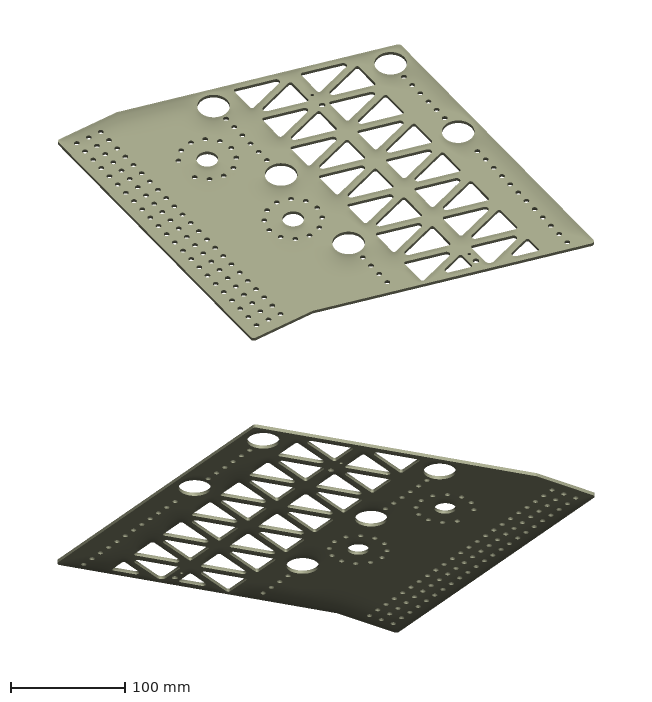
import cadquery as cq
import math

PITCH = 12.7
PLATE_WIDTH = 24 * PITCH
PLATE_HEIGHT = 25 * PITCH
PLATE_THICKNESS = 3.175
KNEE_HEIGHT = 5 * PITCH
CORNER_RADIUS = 3.175
LEAN = math.tan(math.radians(15))

BOLT_HOLE_DIAMETER = 5.0
GRID_COLUMNS = 23
GRID_ROWS = 3

LARGE_HOLE_DIAMETER = 28.55
LARGE_HOLE_PITCH = 105.0
ROW_SPACING = 12.5 * PITCH
UPPER_ROW_Y = 296.86
LOWER_ROW_Y = UPPER_ROW_Y - ROW_SPACING
UPPER_LARGE_X = 83.88
LOWER_LARGE_X = UPPER_LARGE_X - ROW_SPACING * LEAN
UPPER_LARGE_COUNT = 2
LOWER_LARGE_COUNT = 3

BOLT_ROWS = (
    (104.55, UPPER_ROW_Y, 6),
    (104.55 + 9 * PITCH, UPPER_ROW_Y, 12),
    (60.75, LOWER_ROW_Y, 6),
    (273.5, LOWER_ROW_Y, 4),
)

SHAFT_HOLE_DIAMETER = 19.05
BOLT_CIRCLE_RADIUS = 25.4
BOLT_CIRCLE_POSITIONS = 12
BOTTOM_POSITION = 9
LEFT_SHAFT_X = 93.85
LEFT_SHAFT_Y = 95.7
RIGHT_SHAFT_X = LEFT_SHAFT_X + LARGE_HOLE_PITCH
RIGHT_SHAFT_Y = 115.17

WINDOW_HEIGHT = 47.75
RIB_LEAN = math.tan(math.radians(20))
WINDOW_PITCH = 44.14
WINDOWS_PER_ROW = 7
UPPER_TRUSS_Y = 223.7
TRUSS_ROW_SPACING = 60.0
UPRIGHT_X = 49.55
INVERTED_X = 69.25
END_WINDOW_HEIGHT = 31.0
BASE_RADIUS = 2.0
APEX_RADIUS = 3.175
END_CORNER_RADIUS = 4.5

PAIR_Y = 217.5
PAIR_LARGE_DIAMETER = 5.6
PAIR_LARGE_X = (LEFT_SHAFT_X, 332.9)
PAIR_SMALL_DIAMETER = 3.0
PAIR_SMALL_X = (78.5, 322.6)


def make_plate():
    """Upright lower part below the knee, leaning parallelogram above it."""
    shift = (PLATE_HEIGHT - KNEE_HEIGHT) * LEAN
    outline = [
        (0, 0),
        (PLATE_WIDTH, 0),
        (PLATE_WIDTH, KNEE_HEIGHT),
        (PLATE_WIDTH + shift, PLATE_HEIGHT),
        (shift, PLATE_HEIGHT),
        (0, KNEE_HEIGHT),
    ]
    blank = cq.Workplane("XY").polyline(outline).close().extrude(PLATE_THICKNESS)
    return blank.edges("|Z and (<Y or >Y)").fillet(CORNER_RADIUS)


def drill(plate, centers, diameter):
    """Cut round through holes at the given centers."""
    pins = cq.Workplane("XY").pushPoints(centers).circle(diameter / 2).extrude(PLATE_THICKNESS)
    return plate.cut(pins)


def row_points(first_x, y, count, pitch):
    return [(first_x + i * pitch, y) for i in range(count)]


def cut_bolt_grid(plate):
    for row in range(GRID_ROWS):
        plate = drill(plate, row_points(PITCH, (row + 1) * PITCH, GRID_COLUMNS, PITCH), BOLT_HOLE_DIAMETER)
    return plate


def cut_large_holes(plate):
    upper = row_points(UPPER_LARGE_X, UPPER_ROW_Y, UPPER_LARGE_COUNT, LARGE_HOLE_PITCH)
    lower = row_points(LOWER_LARGE_X, LOWER_ROW_Y, LOWER_LARGE_COUNT, LARGE_HOLE_PITCH)
    return drill(plate, upper + lower, LARGE_HOLE_DIAMETER)


def cut_bolt_rows(plate):
    for first_x, y, count in BOLT_ROWS:
        plate = drill(plate, row_points(first_x, y, count, PITCH), BOLT_HOLE_DIAMETER)
    return plate


def cut_shaft_mount(plate, x, y, positions):
    """Shaft hole with bolt holes at the given positions of its bolt circle."""
    angles = [2 * math.pi * k / BOLT_CIRCLE_POSITIONS for k in positions]
    bolts = [
        (x + BOLT_CIRCLE_RADIUS * math.cos(angle), y + BOLT_CIRCLE_RADIUS * math.sin(angle))
        for angle in angles
    ]
    plate = drill(plate, [(x, y)], SHAFT_HOLE_DIAMETER)
    return drill(plate, bolts, BOLT_HOLE_DIAMETER)


def make_window(left_x, base_y, height, upright, right_radius=BASE_RADIUS):
    """Rounded triangle; its base is at the bottom if upright, else at the top."""
    base = height * (LEAN + RIB_LEAN)
    if upright:
        apex = (left_x + height * LEAN, base_y + height)
        apex_edge = ">Y"
    else:
        apex = (left_x + height * RIB_LEAN, base_y - height)
        apex_edge = "<Y"
    corners = [(left_x, base_y), (left_x + base, base_y), apex]
    window = cq.Workplane("XY").polyline(corners).close().extrude(PLATE_THICKNESS)
    window = window.edges("|Z").edges(apex_edge).fillet(APEX_RADIUS)
    window = window.edges("|Z").edges("<X").fillet(BASE_RADIUS)
    return window.edges("|Z").edges(">X").fillet(right_radius)


def cut_truss_row(plate, drop, end_corner_radius):
    """One row of windows, lowered by drop and shifted along the plate's lean."""
    bottom = UPPER_TRUSS_Y - drop
    top = bottom + WINDOW_HEIGHT
    for i in range(WINDOWS_PER_ROW):
        is_last = i == WINDOWS_PER_ROW - 1
        offset = i * WINDOW_PITCH - drop * LEAN
        corner_radius = end_corner_radius if is_last else BASE_RADIUS
        inverted_height = END_WINDOW_HEIGHT if is_last else WINDOW_HEIGHT
        plate = plate.cut(make_window(UPRIGHT_X + offset, bottom, WINDOW_HEIGHT, True, corner_radius))
        plate = plate.cut(make_window(INVERTED_X + offset, top, inverted_height, False))
    return plate


def cut_hole_pairs(plate):
    plate = drill(plate, [(x, PAIR_Y) for x in PAIR_LARGE_X], PAIR_LARGE_DIAMETER)
    return drill(plate, [(x, PAIR_Y) for x in PAIR_SMALL_X], PAIR_SMALL_DIAMETER)


full_circle = range(BOLT_CIRCLE_POSITIONS)
open_circle = [k for k in full_circle if k != BOTTOM_POSITION]

result = make_plate()
result = cut_bolt_grid(result)
result = cut_large_holes(result)
result = cut_bolt_rows(result)
result = cut_shaft_mount(result, LEFT_SHAFT_X, LEFT_SHAFT_Y, open_circle)
result = cut_shaft_mount(result, RIGHT_SHAFT_X, RIGHT_SHAFT_Y, full_circle)
result = cut_truss_row(result, 0, END_CORNER_RADIUS)
result = cut_truss_row(result, TRUSS_ROW_SPACING, BASE_RADIUS)
result = cut_hole_pairs(result)